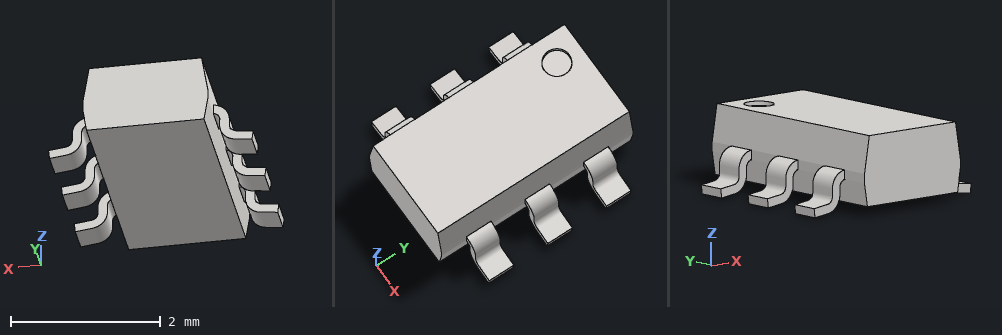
import cadquery as cq
import math

HOUSING_LENGTH = 3.1
TOTAL_HEIGHT = 1.1
HOUSING_BOTTOM = 0.135
TOP_WIDTH = 1.528
BELT_WIDTH = 1.7
BOTTOM_WIDTH = 1.593
BELT_TOP = 0.59

MARK_DIAMETER = 0.4
MARK_DEPTH = 0.06

LEAD_SPAN = 2.78
LEAD_THICKNESS = 0.13
LEAD_WIDTH = 0.4
LEAD_PITCH = 0.95
LEADS_PER_SIDE = 3
UPRIGHT_SPAN = 2.133
BEND_INNER_RADIUS = 0.1
FOOT_ANGLE = 7.0

BELT_BOTTOM = BELT_TOP - LEAD_THICKNESS
BEND_OUTER_RADIUS = BEND_INNER_RADIUS + LEAD_THICKNESS


def make_housing():
    """Tapered block with a vertical belt and the pin-one recess."""
    block = (
        cq.Workplane("XZ")
        .moveTo(-BOTTOM_WIDTH / 2, HOUSING_BOTTOM)
        .lineTo(BOTTOM_WIDTH / 2, HOUSING_BOTTOM)
        .lineTo(BELT_WIDTH / 2, BELT_BOTTOM)
        .lineTo(BELT_WIDTH / 2, BELT_TOP)
        .lineTo(TOP_WIDTH / 2, TOTAL_HEIGHT)
        .lineTo(-TOP_WIDTH / 2, TOTAL_HEIGHT)
        .lineTo(-BELT_WIDTH / 2, BELT_TOP)
        .lineTo(-BELT_WIDTH / 2, BELT_BOTTOM)
        .close()
        .extrude(HOUSING_LENGTH / 2, both=True)
    )
    mark = (
        cq.Workplane("XY", origin=(0, 0, TOTAL_HEIGHT - MARK_DEPTH))
        .center(MARK_DIAMETER - TOP_WIDTH / 2, HOUSING_LENGTH / 2 - MARK_DIAMETER)
        .circle(MARK_DIAMETER / 2)
        .extrude(MARK_DEPTH)
    )
    return block.cut(mark)


def polar(center, radius, degrees):
    """Point in the X-Z plane at an angle from +X around a center."""
    angle = math.radians(degrees)
    return (center[0] + radius * math.cos(angle), center[1] + radius * math.sin(angle))


def make_lead(side, y, housing):
    """Gull-wing lead on the -X side (side = -1) or the +X side (side = 1)."""
    slope = math.radians(FOOT_ANGLE)
    tip_top = (-LEAD_SPAN / 2, LEAD_THICKNESS * math.cos(slope))
    tip_bottom = (tip_top[0] + LEAD_THICKNESS * math.sin(slope), 0)

    upper = (BEND_OUTER_RADIUS - UPRIGHT_SPAN / 2, BELT_BOTTOM - BEND_INNER_RADIUS)

    lower_x = -UPRIGHT_SPAN / 2 - BEND_INNER_RADIUS
    lower_z = (
        tip_top[1]
        + (lower_x - tip_top[0]) * math.tan(slope)
        + BEND_INNER_RADIUS / math.cos(slope)
    )
    lower = (lower_x, lower_z)
    foot_tangent = FOOT_ANGLE - 90
    lower_middle = foot_tangent / 2
    upper_middle = 135

    section = (
        cq.Workplane("XZ")
        .moveTo(*polar(upper, BEND_OUTER_RADIUS, 90))
        .threePointArc(
            polar(upper, BEND_OUTER_RADIUS, upper_middle), polar(upper, BEND_OUTER_RADIUS, 180)
        )
        .lineTo(*polar(lower, BEND_INNER_RADIUS, 0))
        .threePointArc(
            polar(lower, BEND_INNER_RADIUS, lower_middle), polar(lower, BEND_INNER_RADIUS, foot_tangent)
        )
        .lineTo(*tip_top)
        .lineTo(*tip_bottom)
        .lineTo(*polar(lower, BEND_OUTER_RADIUS, foot_tangent))
        .threePointArc(
            polar(lower, BEND_OUTER_RADIUS, lower_middle), polar(lower, BEND_OUTER_RADIUS, 0)
        )
        .lineTo(*polar(upper, BEND_INNER_RADIUS, 180))
        .threePointArc(
            polar(upper, BEND_INNER_RADIUS, upper_middle), polar(upper, BEND_INNER_RADIUS, 90)
        )
        .close()
    )
    lead = section.extrude(LEAD_WIDTH / 2, both=True)
    if side > 0:
        lead = lead.mirror("YZ")
    return lead.translate((0, y, 0)).cut(housing)


housing = make_housing()

leads = []
for side in (-1, 1):
    for index in range(LEADS_PER_SIDE):
        y = (index - (LEADS_PER_SIDE - 1) / 2) * LEAD_PITCH
        leads.append(make_lead(side, y, housing).solids().val())

result = cq.Compound.makeCompound([housing.solids().val(), *leads])